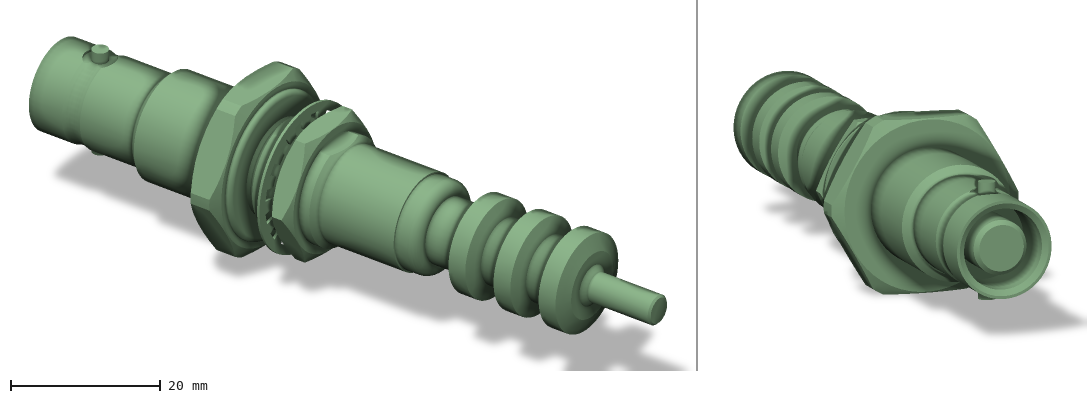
import cadquery as cq
import math

TOTAL_LENGTH = 98.8

BARREL_R = 6.7
BARREL_END = 17.1
GROOVE_START = 5.4
GROOVE_END = 8.4
GROOVE_DEPTH = 0.3
BAYONET_X = (GROOVE_START + GROOVE_END) / 2
BAYONET_R = 1.2
BAYONET_TIP = 8.0
SPOT_FACE_R = 2.4
SPOT_FACE_HEIGHT = 6.3

SOCKET_MOUTH_R = 6.3
SOCKET_R = 5.5
SOCKET_MOUTH_DEPTH = 0.5
SOCKET_DEPTH = 7.9
CONTACT_R = 3.8
CONTACT_START = 1.1
CONTACT_CHAMFER = 0.6

BODY_R = 8.0
BODY_CHAMFER = 1.1

FLANGE_START = 30.4
FLANGE_END = 35.3
FLANGE_FLATS = 23.8
FLANGE_CORNER_R = 13.28
FLANGE_FACE_R = 11.8
FLANGE_CHAMFER = 0.9
COLLAR_R = 10.8
COLLAR_END = 36.1
COLLAR_FILLET = 0.7

THREAD_START = 36.7
THREAD_END = 47.9
THREAD_CHAMFER = 0.9
THREAD_FLAT_HEIGHT = 7.3

SLEEVE_R = 7.1
SLEEVE_END = 60.25

WASHER_START = 40.5
WASHER_THICKNESS = 0.4
WASHER_R = 10.9
TOOTH_COUNT = 16
TOOTH_PITCH = 360 / TOOTH_COUNT
TOOTH_GAP_WIDTH = 1.7
TOOTH_ROOT_R = 9.5
NUT_START = 42.0
NUT_END = 45.3
NUT_FLATS = 18.7
NUT_CORNER_R = NUT_FLATS / 2 / math.cos(math.radians(30))
NUT_FACE_R = 9.3
NUT_CHAMFER = 0.9

BASE_R = 6.8
BASE_END = 63.8
BASE_FILLET = 1.5
NECK_R = 4.8
RIB_R = 7.2
RIB_COUNT = 3
RIB_PITCH = 7.4
FIRST_RIB_START = 68.4
RIB_WIDTH = 4.5
RIB_SLOPE = 0.9
BOOT_END = FIRST_RIB_START + (RIB_COUNT - 1) * RIB_PITCH + RIB_WIDTH
CABLE_R = 2.2
CABLE_FLARE = 0.8
CABLE_CHAMFER = 0.3


def turned(points):
    """Solid of revolution about X from (x, radius) points, closed along the axis."""
    axis_points = [(points[-1][0], 0), (points[0][0], 0)]
    return cq.Workplane("XY").polyline(points + axis_points).close().revolve(360, (0, 0, 0), (1, 0, 0))


def rod(start, end, radius):
    """Plain cylinder along X."""
    return cq.Workplane("YZ", origin=(start, 0, 0)).circle(radius).extrude(end - start)


def chamfered_hexagon(start, end, flats, corner_r, face_r, chamfer):
    """Hexagon along X with flats above and below and its corners turned down at both faces."""
    across_corners = flats / math.cos(math.radians(30))
    prism = cq.Workplane("YZ", origin=(start, 0, 0)).polygon(6, across_corners).extrude(end - start)
    envelope = turned([
        (start, face_r),
        (start + chamfer, corner_r),
        (end - chamfer, corner_r),
        (end, face_r),
    ])
    return prism.intersect(envelope)


def make_bayonet_barrel():
    barrel = (
        cq.Workplane("XY")
        .moveTo(0, 0)
        .lineTo(0, BARREL_R)
        .lineTo(GROOVE_START, BARREL_R)
        .threePointArc((BAYONET_X, BARREL_R - GROOVE_DEPTH), (GROOVE_END, BARREL_R))
        .lineTo(BARREL_END, BARREL_R)
        .lineTo(BARREL_END, 0)
        .close()
        .revolve(360, (0, 0, 0), (1, 0, 0))
    )
    axis = cq.Workplane("XY").center(BAYONET_X, 0)
    for direction in (1, -1):
        spot_face = axis.workplane(offset=direction * SPOT_FACE_HEIGHT).circle(SPOT_FACE_R)
        barrel = barrel.cut(spot_face.extrude(direction * (BAYONET_TIP - SPOT_FACE_HEIGHT)))
    pins = axis.circle(BAYONET_R).extrude(BAYONET_TIP, both=True)
    return barrel.union(pins)


def make_socket():
    """Empty space of the socket, around the contact."""
    opening = turned([
        (0, SOCKET_MOUTH_R),
        (SOCKET_MOUTH_DEPTH, SOCKET_R),
        (SOCKET_DEPTH, SOCKET_R),
    ])
    contact = rod(CONTACT_START, SOCKET_DEPTH, CONTACT_R).faces("<X").chamfer(CONTACT_CHAMFER)
    return opening.cut(contact)


def make_thread():
    thread = rod(THREAD_START, THREAD_END, BODY_R).faces("<X or >X").chamfer(THREAD_CHAMFER)
    above_flat = (
        cq.Workplane("XY", origin=(THREAD_START, 0, THREAD_FLAT_HEIGHT))
        .rect(2 * (THREAD_END - THREAD_START), 2 * BODY_R)
        .extrude(BODY_R)
    )
    return thread.cut(above_flat)


def make_housing():
    body = rod(BARREL_END, FLANGE_START, BODY_R).faces("<X").chamfer(BODY_CHAMFER)
    flange = chamfered_hexagon(
        FLANGE_START, FLANGE_END, FLANGE_FLATS, FLANGE_CORNER_R, FLANGE_FACE_R, FLANGE_CHAMFER
    )
    collar = rod(FLANGE_END, COLLAR_END, COLLAR_R).faces(">X").edges().fillet(COLLAR_FILLET)
    sleeve = rod(COLLAR_END, SLEEVE_END, SLEEVE_R)
    housing = make_bayonet_barrel()
    for section in (body, flange, collar, sleeve, make_thread()):
        housing = housing.union(section)
    return housing.cut(make_socket())


def make_washer():
    blank = rod(WASHER_START, WASHER_START + WASHER_THICKNESS, WASHER_R)
    washer = blank.cut(rod(THREAD_START, THREAD_END, BODY_R))
    gap = (
        cq.Workplane("XY", origin=(WASHER_START + WASHER_THICKNESS / 2, 0, 0))
        .rect(2 * WASHER_THICKNESS, TOOTH_GAP_WIDTH)
        .extrude(TOOTH_ROOT_R)
    )
    for index in range(TOOTH_COUNT):
        washer = washer.cut(gap.rotate((0, 0, 0), (1, 0, 0), (index + 0.5) * TOOTH_PITCH))
    return washer


def make_nut():
    blank = chamfered_hexagon(NUT_START, NUT_END, NUT_FLATS, NUT_CORNER_R, NUT_FACE_R, NUT_CHAMFER)
    return blank.cut(rod(THREAD_START, THREAD_END, BODY_R))


def make_rib(start):
    end = start + RIB_WIDTH
    return turned([
        (start, NECK_R),
        (start + RIB_SLOPE, RIB_R),
        (end - RIB_SLOPE, RIB_R),
        (end, NECK_R),
    ])


def make_boot():
    base = rod(SLEEVE_END, BASE_END, BASE_R).faces(">X").edges().fillet(BASE_FILLET)
    boot = base.union(rod(BASE_END, BOOT_END, NECK_R))
    for index in range(RIB_COUNT):
        boot = boot.union(make_rib(FIRST_RIB_START + index * RIB_PITCH))
    cable = turned([
        (BOOT_END, CABLE_R + CABLE_FLARE),
        (BOOT_END + CABLE_FLARE, CABLE_R),
        (TOTAL_LENGTH - CABLE_CHAMFER, CABLE_R),
        (TOTAL_LENGTH, CABLE_R - CABLE_CHAMFER),
    ])
    return boot.union(cable)


housing = make_housing()
washer = make_washer()
nut = make_nut()
boot = make_boot()

result = cq.Compound.makeCompound([housing.val(), washer.val(), nut.val(), boot.val()])